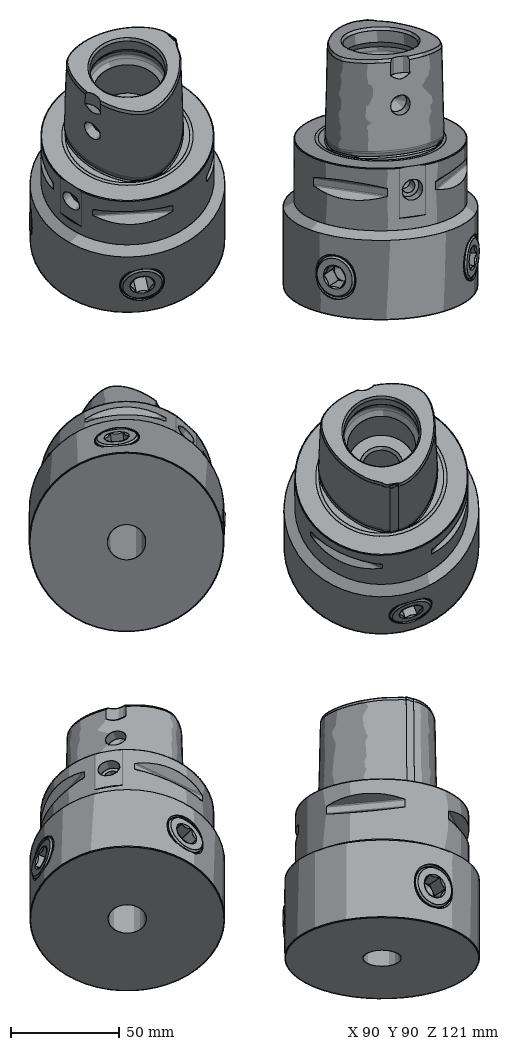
import cadquery as cq
import math

TOTAL_HEIGHT = 121
BASE_RADIUS = 45.0
BASE_TOP = 39.3
COLLAR_RADIUS = 40.0
COLLAR_TOP = 73.0
CONE_ANGLE = 30
EDGE_BREAK = 0.4

GAUGE_RADIUS = 27.5
LOBE_HEIGHT = 2.0
OUTLINE_STEPS = 36
GAUGE_BOTTOM = 75.4
GAUGE_TOP = 76.2
TAPER_TOP = 119.4
TAPER_TOP_RADIUS = 26.5
TOP_FACE_RADIUS = 25.9
NECK_RADIUS = 27.1
NECK_Z = 73.7
FOOT_RADIUS = 27.7

RING_INNER_RADIUS = 28.8
RING_OUTER_RADIUS = 30.4
RING_DEPTH = 0.2
LOBE_RELIEF_RADIUS = 28.3
LOBE_RELIEF_BOTTOM = 73.8
LOBE_RELIEF_TOP = 74.8

MOUTH_RADIUS = 18.3
MOUTH_DEPTH = 1.5
BORE_RADIUS = 17.4
BORE_DEPTH = 7.3
GROOVE_RADIUS = 18.9
GROOVE_ROOF_DEPTH = 10.0
GROOVE_ARC_DEPTH = 12.1
GROOVE_ARC_RADIUS = 3.0
SEAT_RADIUS = 15.9
SEAT_DEPTH = 36.3
THROUGH_RADIUS = 8.8
THROUGH_CHAMFER = 1.3

KEYWAY_RADIUS = 7.3
KEYWAY_FLOOR_Y = -22.5
KEYWAY_POINT_ANGLE = 90
KEYWAY_BOTTOM = 112.9

DRILL_POINT_ANGLE = 118
SHANK_HOLE_RADIUS = 4.8
SHANK_HOLE_Z = 97.9
SHANK_HOLE_FLOOR_Y = -20.0
FLAT_BOTTOM = 48.0
FLAT_WIDTH = 13.0
FLAT_Y = -math.sqrt(COLLAR_RADIUS**2 - (FLAT_WIDTH / 2)**2)
FLAT_HOLE_Z = 61.2
COUNTERBORE_RADIUS = 5.1
COUNTERBORE_DEPTH = 4.8
FLAT_HOLE_RADIUS = 3.1
FLAT_HOLE_DEPTH = 10.9

GRIP_COUNT = 4
GRIP_Z = 61.1
GRIP_FLOOR_DISTANCE = 35.5
GRIP_FLOOR_HEIGHT = 3.9
GRIP_WALL_ANGLE = 30
GRIP_FILLET = 0.6

SCREW_ANGLES = [90 - 130, 90, 90 + 130]
SCREW_Z = 19.2
SCREW_RADIUS = 10.0
SCREW_LENGTH = 19.4
SCREW_CHAMFER = 0.8
COUNTERSINK_RADIUS = 10.9
SOCKET_FLATS = 10.0
SOCKET_DEPTH = 9.1
SOCKET_MOUTH_RADIUS = 5.8


def revolve_profile(points):
    """Solid of revolution about Z from (radius, height) points."""
    return cq.Workplane("XZ").polyline(points).close().revolve(360, (0, 0), (0, 1))


def drill(radius, depth, point_angle=DRILL_POINT_ANGLE):
    """Drill shape entering along -Z from the origin, with a conical point below the given depth."""
    point = radius / math.tan(math.radians(point_angle / 2))
    return revolve_profile([(0, 0), (radius, 0), (radius, -depth), (0, -depth - point)])


def from_front(tool, y, z):
    """Turn a tool made along -Z so that it enters along +Y at the given place."""
    return tool.rotate((0, 0, 0), (1, 0, 0), 90).translate((0, y, z))


def radially(tool, angle, radius, z):
    """Turn a tool made along -Z so that it enters toward the Z axis from the given direction."""
    tool = tool.rotate((0, 0, 0), (0, 1, 0), 90).translate((radius, 0, z))
    return tool.rotate((0, 0, 0), (0, 0, 1), angle)


def stepped_body():
    cone_rise = (BASE_RADIUS - COLLAR_RADIUS) * math.tan(math.radians(CONE_ANGLE))
    return revolve_profile([
        (0, 0),
        (BASE_RADIUS - EDGE_BREAK, 0),
        (BASE_RADIUS, EDGE_BREAK),
        (BASE_RADIUS, BASE_TOP),
        (COLLAR_RADIUS, BASE_TOP + cone_rise),
        (COLLAR_RADIUS, COLLAR_TOP - EDGE_BREAK),
        (COLLAR_RADIUS - EDGE_BREAK, COLLAR_TOP),
        (0, COLLAR_TOP),
    ])


def lobed_point(radius, z, normal):
    """Point of the constant-width three-lobed curve where its outward normal has the given angle."""
    lobe = 3 * (normal - math.pi / 2)
    reach = radius + LOBE_HEIGHT * math.cos(lobe)
    slide = -3 * LOBE_HEIGHT * math.sin(lobe)
    return cq.Vector(
        reach * math.cos(normal) - slide * math.sin(normal),
        reach * math.sin(normal) + slide * math.cos(normal),
        z,
    )


def lobed_outline(radius, z):
    """Closed smooth wire of the three-lobed curve, starting at the tip of its +Y lobe."""
    points = [
        lobed_point(radius, z, math.pi / 2 + 2 * math.pi * step / OUTLINE_STEPS)
        for step in range(OUTLINE_STEPS + 1)
    ]
    along_x = cq.Vector(-1, 0, 0)
    return cq.Wire.assembleEdges([cq.Edge.makeSpline(points, tangents=[along_x, along_x])])


def shank():
    sections = [
        (FOOT_RADIUS, COLLAR_TOP),
        (NECK_RADIUS, NECK_Z),
        (GAUGE_RADIUS, GAUGE_BOTTOM),
        (GAUGE_RADIUS, GAUGE_TOP),
        (TAPER_TOP_RADIUS, TAPER_TOP),
        (TOP_FACE_RADIUS, TOTAL_HEIGHT),
    ]
    outlines = [lobed_outline(radius, z) for radius, z in sections]
    lobed = cq.Workplane(cq.Solid.makeLoft(outlines, True))
    return lobed.cut(lobe_relief())


def lobe_relief():
    """Ring with a conical top that trims the three lobes just above the collar."""
    return revolve_profile([
        (LOBE_RELIEF_RADIUS, COLLAR_TOP),
        (RING_OUTER_RADIUS, COLLAR_TOP),
        (RING_OUTER_RADIUS, LOBE_RELIEF_TOP),
        (LOBE_RELIEF_RADIUS, LOBE_RELIEF_BOTTOM),
    ])


def ring_groove():
    """Ring whose section is a shallow arc below the collar's top face."""
    middle = (RING_INNER_RADIUS + RING_OUTER_RADIUS) / 2
    return (
        cq.Workplane("XZ")
        .moveTo(RING_INNER_RADIUS, COLLAR_TOP)
        .threePointArc((middle, COLLAR_TOP - RING_DEPTH), (RING_OUTER_RADIUS, COLLAR_TOP))
        .close()
        .revolve(360, (0, 0), (0, 1))
    )


def bore():
    """Bore with a mouth chamfer, an inner groove rounding into a 45 degree cone, and a through hole."""
    arc_x = GROOVE_RADIUS - GROOVE_ARC_RADIUS
    arc_z = TOTAL_HEIGHT - GROOVE_ARC_DEPTH
    half = math.radians(22.5)
    end_x = arc_x + GROOVE_ARC_RADIUS * math.cos(2 * half)
    end_z = arc_z - GROOVE_ARC_RADIUS * math.sin(2 * half)
    seat_z = TOTAL_HEIGHT - SEAT_DEPTH
    return (
        cq.Workplane("XZ")
        .moveTo(0, TOTAL_HEIGHT)
        .lineTo(MOUTH_RADIUS, TOTAL_HEIGHT)
        .lineTo(BORE_RADIUS, TOTAL_HEIGHT - MOUTH_DEPTH)
        .lineTo(BORE_RADIUS, TOTAL_HEIGHT - BORE_DEPTH)
        .lineTo(GROOVE_RADIUS, TOTAL_HEIGHT - GROOVE_ROOF_DEPTH)
        .lineTo(GROOVE_RADIUS, arc_z)
        .threePointArc(
            (arc_x + GROOVE_ARC_RADIUS * math.cos(half), arc_z - GROOVE_ARC_RADIUS * math.sin(half)),
            (end_x, end_z),
        )
        .lineTo(SEAT_RADIUS, end_z - (end_x - SEAT_RADIUS))
        .lineTo(SEAT_RADIUS, seat_z)
        .lineTo(THROUGH_RADIUS + THROUGH_CHAMFER, seat_z)
        .lineTo(THROUGH_RADIUS, seat_z - THROUGH_CHAMFER)
        .lineTo(THROUGH_RADIUS, 0)
        .lineTo(0, 0)
        .close()
        .revolve(360, (0, 0), (0, 1))
    )


def keyway():
    depth = TOTAL_HEIGHT - KEYWAY_BOTTOM
    tool = drill(KEYWAY_RADIUS, depth, KEYWAY_POINT_ANGLE)
    return tool.translate((0, KEYWAY_FLOOR_Y - KEYWAY_RADIUS, TOTAL_HEIGHT))


def shank_hole():
    depth = SHANK_HOLE_FLOOR_Y + COLLAR_RADIUS
    return from_front(drill(SHANK_HOLE_RADIUS, depth), -COLLAR_RADIUS, SHANK_HOLE_Z)


def front_flat():
    return cq.Workplane("XY").box(
        2 * COLLAR_RADIUS, COLLAR_RADIUS, COLLAR_TOP - FLAT_BOTTOM, centered=(True, False, False)
    ).translate((0, FLAT_Y - COLLAR_RADIUS, FLAT_BOTTOM))


def flat_hole():
    counterbore = cq.Workplane("XY").circle(COUNTERBORE_RADIUS).extrude(-COUNTERBORE_DEPTH)
    return from_front(counterbore.union(drill(FLAT_HOLE_RADIUS, FLAT_HOLE_DEPTH)), FLAT_Y, FLAT_HOLE_Z)


def grip_groove(angle):
    """Straight groove across the collar with a flat floor and sloping walls."""
    depth = BASE_RADIUS - GRIP_FLOOR_DISTANCE
    half_floor = GRIP_FLOOR_HEIGHT / 2
    half_mouth = half_floor + depth * math.tan(math.radians(GRIP_WALL_ANGLE))
    groove = (
        cq.Workplane("XZ")
        .polyline([
            (GRIP_FLOOR_DISTANCE, -half_floor),
            (BASE_RADIUS, -half_mouth),
            (BASE_RADIUS, half_mouth),
            (GRIP_FLOOR_DISTANCE, half_floor),
        ])
        .close()
        .extrude(COLLAR_RADIUS, both=True)
        .faces("<X")
        .edges("|Y")
        .fillet(GRIP_FILLET)
    )
    return groove.translate((0, 0, GRIP_Z)).rotate((0, 0, 0), (0, 0, 1), angle)


def screw_hole(angle):
    """Screw-sized hole whose 45 degree countersink starts at the foot of the screw's chamfer."""
    hole = revolve_profile([
        (0, 0),
        (COUNTERSINK_RADIUS, 0),
        (COUNTERSINK_RADIUS, -SCREW_CHAMFER),
        (SCREW_RADIUS, -SCREW_CHAMFER - (COUNTERSINK_RADIUS - SCREW_RADIUS)),
        (SCREW_RADIUS, -SCREW_LENGTH),
        (0, -SCREW_LENGTH),
    ])
    return radially(hole, angle, BASE_RADIUS, SCREW_Z)


def make_housing():
    body = stepped_body().cut(ring_groove()).union(shank())
    body = body.cut(bore()).cut(keyway()).cut(shank_hole())
    body = body.cut(front_flat()).cut(flat_hole())
    for index in range(GRIP_COUNT):
        body = body.cut(grip_groove(45 + index * 360 / GRIP_COUNT))
    for angle in SCREW_ANGLES:
        body = body.cut(screw_hole(angle))
    return body


def make_screw(angle):
    """Headless screw with chamfered rim and a hexagon socket whose corners are countersunk."""
    across_corners = SOCKET_FLATS / math.cos(math.radians(30))
    hexagon = (
        cq.Workplane("XY").polygon(6, across_corners).extrude(-SOCKET_DEPTH).rotate((0, 0, 0), (0, 0, 1), 90)
    )
    mouth_depth = SOCKET_MOUTH_RADIUS - SOCKET_FLATS / 2
    mouth = revolve_profile([(0, 0), (SOCKET_MOUTH_RADIUS, 0), (SOCKET_FLATS / 2, -mouth_depth), (0, -mouth_depth)])
    screw = cq.Workplane("XY").circle(SCREW_RADIUS).extrude(-SCREW_LENGTH)
    screw = screw.faces(">Z").chamfer(SCREW_CHAMFER).cut(hexagon).cut(mouth)
    screw = screw.cut(drill(SOCKET_FLATS / 2, SOCKET_DEPTH))
    return radially(screw, angle, BASE_RADIUS, SCREW_Z)


housing = make_housing()
screws = [make_screw(angle) for angle in SCREW_ANGLES]

result = cq.Compound.makeCompound([housing.val(), *[screw.val() for screw in screws]])